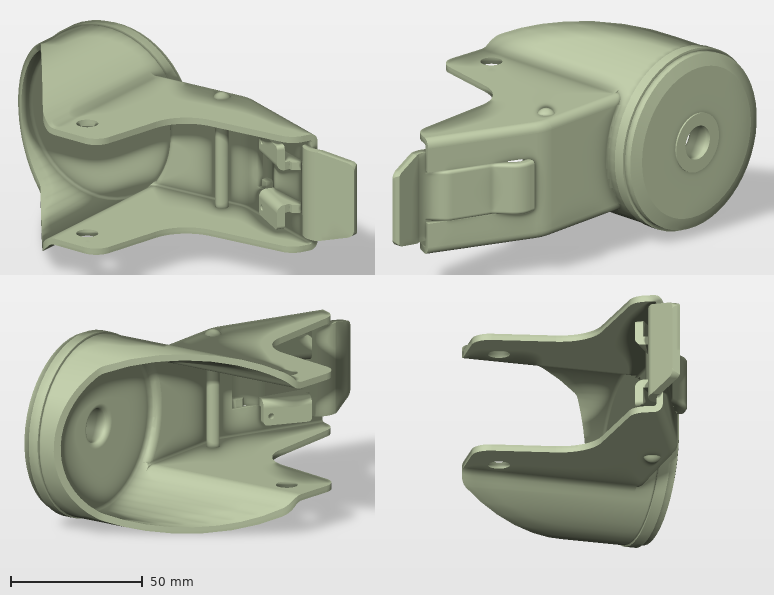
import cadquery as cq
import math


BORE_RADIUS = 6.7
BORE_ROUND = 2.0
HUB_RADIUS = 11.7
CAP_TOP_Y = -0.7
CAP_TOP_RADIUS = 30.0
CAP_RADIUS = 34.9
CAP_BEVEL_Y = -2.2
RING_TOP_Y = -5.0
RING_RADIUS = 36.0

SHEET = 2.5
CUP_TOP_Y = -9.2
CUP_RADIUS = 35.5
CUP_EDGE_ROUND = 0.8
CUP_FLOOR_ROUND = 1.2
OUTER_STEP_ROUND = 1.0
INNER_STEP_ROUND = 2.5
CHANNEL_TOP_Y = -13.4
CHANNEL_HALF_WIDTH = 23.5
FOLD_INNER_RADIUS = 0.8
NECK_ROUND = 4.5
FORK_BEND_X = 69.7
FORK_BEND_RADIUS = 15.0
FORK_SLOPE = math.radians(24.3)
FORK_END_X = 113.6
AXLE_X = 35.7
AXLE_Y = -74.0
AXLE_HOLE_RADIUS = 4.2
RIM_SLOPE = math.radians(30)
RIM_KNEE = (-18.6, -26.1)
RIM_KNEE_RADIUS = 6.7
HEEL = (23.1, -85.5)
HEEL_RADIUS = 7.5
TOE = (49.6, -87.8)
TOE_RADIUS = 7.0
CROTCH = (59.0, -45.0)
CROTCH_RADIUS = 16.8
TIP_Y = -43.4
TIP_RADIUS = 7.5

DEEP = 100.5
OVERRUN_X = 122.3

PIN_X = 61.3
PIN_Y = -21.1
PIN_RADIUS = 2.5
PIN_HEAD_RADIUS = 3.27
PIN_HEAD_HEIGHT = 1.8

LEVER_SHEET = 3.2
LEVER_HALF_WIDTH = 10.2
LEVER_EDGE_ROUND = 1.3
HOOK_END_X = 76.2
HOOK_Y = -16.3
WINDOW_START_X = 77.4
WINDOW_CLEARANCE = 0.2
WING_START_X = 108.2
PEDAL_HALF_WIDTH = 18.0
PEDAL_TAPER_X = 117.3
PEDAL_END_HALF_WIDTH = 14.4
PEDAL_CORNER_RADIUS = 3.4
PEDAL_END_X = 131.5
PEDAL_KNEE_X = 116.1
PEDAL_Y = -39.0
PEDAL_SLOPE = math.radians(15)
WALL_HEEL = [(102.0, -35.2), (103.5, -35.9), (106.4, -33.7)]
WALL_TOP = [(103.9, -30.2), (88.8, -24.1)]
FLAP_DEPTH = 7.2
HOOK_EAR = [(78.5, -15.5), (78.5, -19.3), (81.3, -20.6), (83.8, -19.3), (85.0, -20.1), (81.5, -15.5)]
FLAP_START = (83.6, -28.8)
FLAP_LENGTH = 19.5
FLAP_SLOPE = math.radians(35)
FLAP_HALF_SPAN = 17.0
FLAP_CORNER_RADIUS = 1.5
FLAP_BEND_RADIUS = 3.0
FLAP_HOLE_RADIUS = 1.2
FLAP_HOLE_DISTANCE = 3.0
FLAP_HOLE_Z = 13.4


def y_disc(radius, top_y, bottom_y):
    """Disc on the swivel axis between two heights."""
    return cq.Workplane("XZ", origin=(0, top_y, 0)).circle(radius).extrude(top_y - bottom_y)


def z_slab(points, low_z, high_z):
    """Prism along Z with a polygonal outline in X and Y."""
    return cq.Workplane("XY", origin=(0, 0, low_z)).polyline(points).close().extrude(high_z - low_z)


def round_at(body, point, radius):
    """Round the edge parallel to Z that passes through the given X, Y point."""
    edge = cq.selectors.NearestToPointSelector((point[0], point[1], 0))
    return body.edges("|Z").edges(edge).fillet(radius)



def slope_y(x):
    """Height of the sharp sloping outer face of the fork."""
    return CHANNEL_TOP_Y - (x - FORK_BEND_X) * math.tan(FORK_SLOPE)


def below_slope(x, depth):
    """Point reached by going square into the sheet from the sloping outer face."""
    return (x - depth * math.sin(FORK_SLOPE), slope_y(x) - depth * math.cos(FORK_SLOPE))


def channel_block(depth, half_width, fold_radius):
    """Filled channel whose roof lies the given depth inside the outer faces of the fork."""
    roof_y = CHANNEL_TOP_Y - depth
    bend_x = FORK_BEND_X - depth * math.tan(FORK_SLOPE / 2)
    end = below_slope(OVERRUN_X, depth)
    block = z_slab(
        [(0, roof_y), (bend_x, roof_y), end, (end[0], -DEEP), (0, -DEEP)],
        -half_width, half_width,
    )
    block = round_at(block, (bend_x, roof_y), FORK_BEND_RADIUS - depth)
    return block.faces(">Y").edges("|X").fillet(fold_radius)


def neck_fill(depth, radius, top_y, side):
    """Prism with a hollow round between the cup wall and one side plate."""
    wall = CUP_RADIUS - depth
    half_width = CHANNEL_HALF_WIDTH - depth
    centre_z = half_width + radius
    centre_x = math.sqrt((wall + radius) ** 2 - centre_z**2)
    on_wall = (centre_x * wall / (wall + radius), centre_z * wall / (wall + radius))
    lean = (math.atan2(centre_z, centre_x) + math.pi / 2) / 2
    mid = (centre_x - radius * math.cos(lean), centre_z - radius * math.sin(lean))
    inside = (on_wall[0] - SHEET, half_width - SHEET)
    prism = (
        cq.Workplane("XZ", origin=(0, top_y, 0))
        .moveTo(on_wall[0], side * on_wall[1])
        .threePointArc((mid[0], side * mid[1]), (centre_x, side * half_width))
        .lineTo(centre_x, side * inside[1])
        .lineTo(inside[0], side * inside[1])
        .close()
    )
    return prism.extrude(top_y + DEEP)


def step_bead(depth, radius):
    """Hollow round where the cup wall rises from the roof of the channel."""
    wall = CUP_RADIUS - depth
    roof_y = CHANNEL_TOP_Y - depth
    leg = radius * (1 - math.sqrt(0.5))
    ring = (
        cq.Workplane("XY")
        .moveTo(wall + radius, roof_y)
        .threePointArc((wall + leg, roof_y + leg), (wall, roof_y + radius))
        .lineTo(wall - SHEET, roof_y + radius)
        .lineTo(wall - SHEET, roof_y - SHEET)
        .lineTo(wall + radius, roof_y - SHEET)
        .close()
        .revolve(360, (0, 0, 0), (0, 1, 0))
    )
    flat_half_width = CHANNEL_HALF_WIDTH - SHEET - FOLD_INNER_RADIUS
    flat_roof = z_slab([(0, 0), (DEEP, 0), (DEEP, -DEEP), (0, -DEEP)], -flat_half_width, flat_half_width)
    return ring.intersect(flat_roof)


def cup_and_channel(depth, floor_y, floor_round, fold_radius, step_radius, neck_radius):
    """Filled cup joined to the filled channel, with the necks and the step between them rounded."""
    cup = y_disc(CUP_RADIUS - depth, floor_y, -DEEP).faces(">Y").edges().fillet(floor_round)
    body = cup.union(channel_block(depth, CHANNEL_HALF_WIDTH - depth, fold_radius))
    body = body.union(step_bead(depth, step_radius))
    for side in (-1, 1):
        body = body.union(neck_fill(depth, neck_radius, CHANNEL_TOP_Y - depth - fold_radius, side))
    return body


def side_outline():
    """Outline of the side plates and of the slanted cup rim, extruded over the full width."""
    rim_start_y = RIM_KNEE[1] + (RIM_KNEE[0] + RING_RADIUS) * math.tan(RIM_SLOPE)
    end_y = slope_y(FORK_END_X)
    tip = (FORK_END_X - (end_y - TIP_Y) * math.tan(FORK_SLOPE), TIP_Y)
    outline = z_slab(
        [(-RING_RADIUS, 0), (-RING_RADIUS, rim_start_y), RIM_KNEE, HEEL, TOE, CROTCH, tip,
         (FORK_END_X, end_y), (FORK_END_X, 0)],
        -RING_RADIUS, RING_RADIUS,
    )
    rounds = (
        (RIM_KNEE, RIM_KNEE_RADIUS), (HEEL, HEEL_RADIUS), (TOE, TOE_RADIUS),
        (CROTCH, CROTCH_RADIUS), (tip, TIP_RADIUS),
    )
    for corner, radius in rounds:
        outline = round_at(outline, corner, radius)
    return outline


def slope_cutter(start_x, half_width):
    """Block round the sheet of the slope, from a start square to it to the end of the fork."""
    return z_slab(
        [below_slope(start_x, -SHEET), below_slope(FORK_END_X, -SHEET),
         below_slope(FORK_END_X, SHEET), below_slope(start_x, SHEET)],
        -half_width, half_width,
    )


def make_fork():
    outer = cup_and_channel(
        0, CUP_TOP_Y, CUP_EDGE_ROUND, FOLD_INNER_RADIUS + SHEET, OUTER_STEP_ROUND, NECK_ROUND)
    cavity = cup_and_channel(
        SHEET, CUP_TOP_Y - SHEET, CUP_FLOOR_ROUND, FOLD_INNER_RADIUS, INNER_STEP_ROUND, NECK_ROUND + SHEET)
    body = outer.cut(cavity).intersect(side_outline())
    bore = y_disc(BORE_RADIUS, CUP_TOP_Y, CHANNEL_TOP_Y)
    window = slope_cutter(WINDOW_START_X, LEVER_HALF_WIDTH + WINDOW_CLEARANCE)
    axle_hole = cq.Workplane("XY").center(AXLE_X, AXLE_Y).circle(AXLE_HOLE_RADIUS).extrude(DEEP, both=True)
    body = body.cut(bore)
    bore_rim = cq.selectors.NearestToPointSelector((0, CUP_TOP_Y - SHEET, 0))
    body = body.edges("%CIRCLE").edges(bore_rim).fillet(BORE_ROUND)
    return body.cut(window).cut(axle_hole).cut(make_pin())



def make_hub():
    return y_disc(HUB_RADIUS, 0, CUP_TOP_Y).cut(y_disc(BORE_RADIUS, 0, CUP_TOP_Y))


def make_cap():
    profile = [
        (HUB_RADIUS, RING_TOP_Y), (CAP_RADIUS, RING_TOP_Y), (CAP_RADIUS, CAP_BEVEL_Y),
        (CAP_TOP_RADIUS, CAP_TOP_Y), (HUB_RADIUS, CAP_TOP_Y),
    ]
    return cq.Workplane("XY").polyline(profile).close().revolve(360, (0, 0, 0), (0, 1, 0))


def make_ring():
    return y_disc(RING_RADIUS, RING_TOP_Y, CUP_TOP_Y).cut(y_disc(HUB_RADIUS, RING_TOP_Y, CUP_TOP_Y))



def make_pin():
    """Pin with half-ball heads that are sunk in the side plates and stand out beyond them."""
    tip_z = CHANNEL_HALF_WIDTH + PIN_HEAD_HEIGHT
    ball_radius = (PIN_HEAD_RADIUS**2 + PIN_HEAD_HEIGHT**2) / (2 * PIN_HEAD_HEIGHT)
    ball_z = tip_z - ball_radius
    diagonal = ball_radius * math.sqrt(0.5)
    half = (
        cq.Workplane("XZ", origin=(PIN_X, PIN_Y, 0))
        .lineTo(PIN_RADIUS, 0)
        .lineTo(PIN_RADIUS, ball_z)
        .lineTo(ball_radius, ball_z)
        .threePointArc((diagonal, ball_z + diagonal), (0, tip_z))
        .close()
        .revolve(360, (0, 0, 0), (0, 1, 0))
    )
    return half.union(half.mirror("XY"))



def lever_bends():
    """Inner-side (-Y) path of the lever sheet as (X, Y, bend radius), from the hook to the pedal."""
    pedal_rise = (PEDAL_END_X - PEDAL_KNEE_X) * math.tan(PEDAL_SLOPE)
    return [
        (HOOK_END_X, HOOK_Y, 0),
        (81.1, HOOK_Y, 5.0),
        (88.0, -24.8, 2.5),
        (104.9, -31.5, 2.5),
        (111.0, PEDAL_Y, 5.0),
        (PEDAL_KNEE_X, PEDAL_Y, 0.8),
        (PEDAL_END_X, PEDAL_Y + pedal_rise, 0),
    ]


def offset_path(path, distance):
    """Corners of a polygonal path moved sideways to its left, mitred at each corner."""
    angles = [math.atan2(b[1] - a[1], b[0] - a[0]) for a, b in zip(path, path[1:])]
    moved = []
    for i, point in enumerate(path):
        before = angles[max(i - 1, 0)]
        after = angles[min(i, len(angles) - 1)]
        reach = distance / math.cos((after - before) / 2)
        normal = (before + after + math.pi) / 2
        moved.append((point[0] + reach * math.cos(normal), point[1] + reach * math.sin(normal)))
    return moved


def lever_paths():
    """Corner points of the inner and outer faces of the lever sheet, and the bend radii."""
    bends = lever_bends()
    inner = [(x, y) for x, y, _ in bends]
    return inner, offset_path(inner, LEVER_SHEET), [radius for _, _, radius in bends]


def turns_up(path, i):
    """Whether the path bends upwards at one of its inner corners."""
    before = (path[i][1] - path[i - 1][1]) / (path[i][0] - path[i - 1][0])
    after = (path[i + 1][1] - path[i][1]) / (path[i + 1][0] - path[i][0])
    return after > before


def lever_sheet():
    """Bent sheet of the lever at its full pedal width."""
    inner, outer, radii = lever_paths()
    sheet = z_slab(inner + outer[::-1], -PEDAL_HALF_WIDTH, PEDAL_HALF_WIDTH)
    for i in range(1, len(inner) - 1):
        up = turns_up(inner, i)
        sheet = round_at(sheet, inner[i], radii[i] + LEVER_SHEET * up)
        sheet = round_at(sheet, outer[i], radii[i] + LEVER_SHEET * (not up))
    return sheet


def pedal_plan():
    """Pedal outline in X and Z, tapered and rounded towards its free end."""
    points = [
        (WING_START_X, -PEDAL_HALF_WIDTH), (PEDAL_TAPER_X, -PEDAL_HALF_WIDTH),
        (PEDAL_END_X, -PEDAL_END_HALF_WIDTH), (PEDAL_END_X, PEDAL_END_HALF_WIDTH),
        (PEDAL_TAPER_X, PEDAL_HALF_WIDTH), (WING_START_X, PEDAL_HALF_WIDTH),
    ]
    plan = cq.Workplane("XZ").polyline(points).close().extrude(DEEP)
    return plan.edges("|Y and >X").fillet(PEDAL_CORNER_RADIUS)


def along_flap(distance, height):
    """Point at a distance along the inner face of the flaps and a height into their sheet."""
    return (
        FLAP_START[0] + distance * math.cos(FLAP_SLOPE) + height * math.sin(FLAP_SLOPE),
        FLAP_START[1] - distance * math.sin(FLAP_SLOPE) + height * math.cos(FLAP_SLOPE),
    )


def make_flange():
    """Side wall of the lever on the +Z side with its outward flap and locating hole."""
    wall_z = LEVER_HALF_WIDTH - LEVER_SHEET
    flap = z_slab(
        [along_flap(0, 0), along_flap(FLAP_LENGTH, 0),
         along_flap(FLAP_LENGTH, LEVER_SHEET), along_flap(0, LEVER_SHEET)],
        wall_z, FLAP_HALF_SPAN,
    )
    wall = z_slab(
        [along_flap(0, 0), along_flap(FLAP_LENGTH, 0), along_flap(FLAP_LENGTH, LEVER_SHEET),
         *WALL_HEEL, *WALL_TOP,
         along_flap(0, FLAP_DEPTH)],
        wall_z, LEVER_HALF_WIDTH,
    )
    flange = wall.union(flap)
    inner_edge = along_flap(FLAP_LENGTH / 2, 0)
    flange = flange.edges(
        cq.selectors.NearestToPointSelector((*inner_edge, wall_z))).fillet(FLAP_BEND_RADIUS)
    for distance in (0, FLAP_LENGTH):
        corner = cq.selectors.NearestToPointSelector((*along_flap(distance, LEVER_SHEET / 2), FLAP_HALF_SPAN))
        flange = flange.edges(corner).fillet(FLAP_CORNER_RADIUS)
    hole_plane = cq.Plane(
        origin=(*along_flap(FLAP_HOLE_DISTANCE, 0), FLAP_HOLE_Z),
        xDir=(0, 0, 1),
        normal=(math.sin(FLAP_SLOPE), math.cos(FLAP_SLOPE), 0),
    )
    return flange.cut(cq.Workplane(hole_plane).circle(FLAP_HOLE_RADIUS).extrude(LEVER_SHEET))


def make_web(sheet):
    """Narrow middle strip of the sheet, with both long edges of its outer face rounded."""
    outer = lever_paths()[1]
    web = sheet.intersect(cq.Workplane("XY").box(2 * PEDAL_TAPER_X, 2 * DEEP, 2 * LEVER_HALF_WIDTH))
    hump_slope = ((outer[1][0] + outer[2][0]) / 2, (outer[1][1] + outer[2][1]) / 2)
    for side in (-1, 1):
        edge = cq.selectors.NearestToPointSelector((*hump_slope, side * LEVER_HALF_WIDTH))
        web = web.edges(edge).fillet(LEVER_EDGE_ROUND)
    return web


def make_lever():
    sheet = lever_sheet()
    web = make_web(sheet)
    ear = z_slab(HOOK_EAR, -LEVER_HALF_WIDTH, LEVER_SHEET - LEVER_HALF_WIDTH)
    pedal = sheet.intersect(pedal_plan()).cut(slope_cutter(WINDOW_START_X, RING_RADIUS))
    flange = make_flange()
    return web.union(pedal).union(ear).union(flange).union(flange.mirror("XY"))


fork = make_fork()
hub = make_hub()
cap = make_cap()
ring = make_ring()
pin = make_pin()
lever = make_lever()

result = cq.Compound.makeCompound([fork.val(), hub.val(), cap.val(), ring.val(), pin.val(), lever.val()])